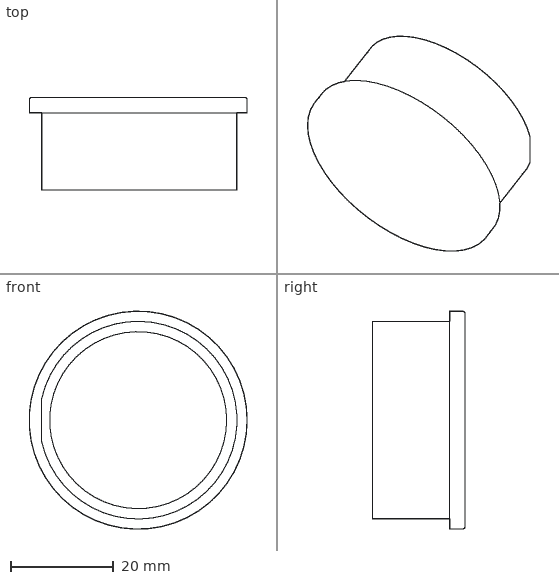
import cadquery as cq

flange_diameter = 42.4
flange_thickness = 3.0
flange_edge_round = 0.5
total_length = 18.0
cup_diameter = 38.4
bore_diameter = 34.4
flat_distance = 18.75
cup_length = total_length - flange_thickness
bore_depth = cup_length


def disc(diameter, length, start_y):
    """Cylinder along +Y, starting at start_y."""
    plane = cq.Workplane("XZ", origin=(0, start_y, 0))
    return plane.circle(diameter / 2).extrude(-length)


flange = disc(flange_diameter, flange_thickness, cup_length)
flange = flange.faces(">Y").edges().fillet(flange_edge_round)

flat_limit = cq.Workplane("XY").box(
    flange_diameter, total_length, flange_diameter, centered=(False, False, True)
).translate((-flat_distance, 0, 0))
cup = disc(cup_diameter, cup_length, 0).intersect(flat_limit)

bore = disc(bore_diameter, bore_depth, 0)

result = flange.union(cup).cut(bore)